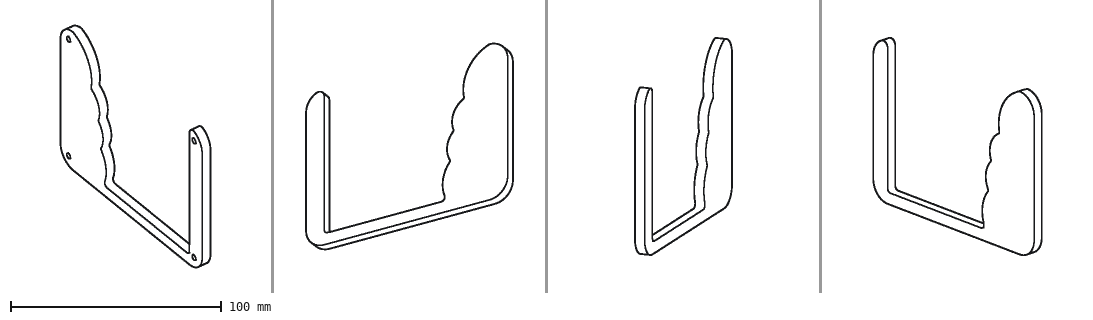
import cadquery as cq
import math

width = 111.4
height = 82.9
thickness = 5.0
corner_radius = 10.0

arm_width = 10.0
rail_height = 6.0
arm_tip_radius = 3.0
inner_corner_radius = 2.0

hole_diameter = 2.9
hole_inset = 6.5
hole_depth = 3.3

lobe_start = (corner_radius, height)
lobes = [
    ((20.7, 74.7), (24.1, 57.7)),
    ((29.4, 52.5), (29.7, 42.0)),
    ((33.3, 35.5), (31.6, 26.4)),
    ((35.9, 16.9), (33.6, rail_height)),
]
lobe_crest_radius = 3.0
notches = [end for _, end in lobes[:-1]]
notch_radius = 1.0


def corner_middle(center_x, center_z, angle):
    """Point on a rounded outer corner, at an angle in degrees from +X."""
    turn = math.radians(angle)
    return (
        center_x + corner_radius * math.cos(turn),
        center_z + corner_radius * math.sin(turn),
    )


def frame_profile():
    """Closed outline, clockwise from the top of the left side."""
    left = corner_radius
    right = width - corner_radius
    low = corner_radius
    high = height - corner_radius
    arm_x = width - arm_width

    tip_x = arm_x + arm_tip_radius
    center_gap = corner_radius - arm_tip_radius
    tip_angle = math.acos((tip_x - right) / center_gap)
    tip_z = high + center_gap * math.sin(tip_angle)
    touch = corner_middle(right, high, math.degrees(tip_angle))
    tip_middle_angle = (math.pi + tip_angle) / 2
    tip_middle = (
        tip_x + arm_tip_radius * math.cos(tip_middle_angle),
        tip_z + arm_tip_radius * math.sin(tip_middle_angle),
    )
    outer_middle = corner_middle(right, high, math.degrees(tip_angle) / 2)

    outline = cq.Workplane("XZ").moveTo(0, high)
    outline = outline.threePointArc(corner_middle(left, high, 135), lobe_start)
    for middle, end in lobes:
        outline = outline.threePointArc(middle, end)
    return (
        outline.lineTo(arm_x, rail_height)
        .lineTo(arm_x, tip_z)
        .threePointArc(tip_middle, touch)
        .threePointArc(outer_middle, (width, high))
        .lineTo(width, low)
        .threePointArc(corner_middle(right, low, -45), (right, 0))
        .lineTo(left, 0)
        .threePointArc(corner_middle(left, low, -135), (0, low))
        .close()
    )


def round_corner(body, point, radius):
    """Round the edge that runs through the thickness at an outline point."""
    x, z = point
    edge = cq.selectors.NearestToPointSelector((x, 0, z))
    return body.edges("|Y").edges(edge).fillet(radius)


plate = frame_profile().extrude(thickness / 2, both=True)

plate = round_corner(plate, lobe_start, lobe_crest_radius)
for inner_corner in [lobes[-1][1], (width - arm_width, rail_height)]:
    plate = round_corner(plate, inner_corner, inner_corner_radius)
for notch in notches:
    plate = round_corner(plate, notch, notch_radius)

hole_centers = [
    (x, z)
    for x in (hole_inset, width - hole_inset)
    for z in (hole_inset, height - hole_inset)
]
holes = (
    cq.Workplane("XZ", origin=(0, -thickness / 2, 0))
    .pushPoints(hole_centers)
    .circle(hole_diameter / 2)
    .extrude(-hole_depth)
)

result = plate.cut(holes)